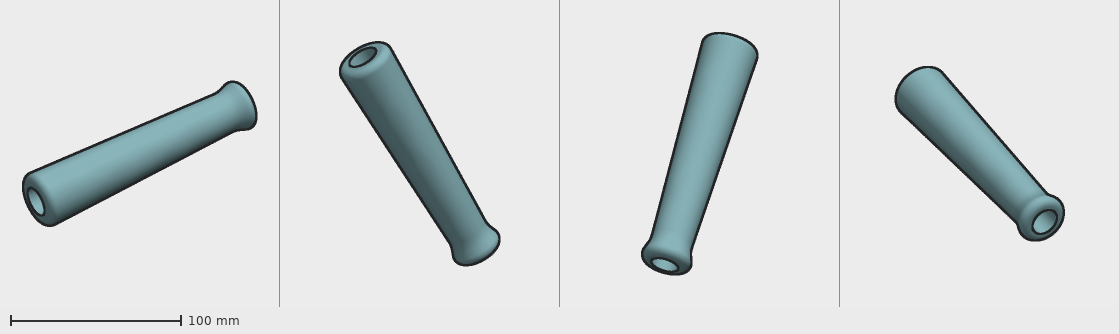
import cadquery as cq
import math

length = 148.0
front_radius = 16.9
bead_radius = 15.0
edge_round = 4.5
body_taper = math.radians(2.0)
flare_angle = math.radians(19.0)
neck_setback = 16.1
flare_setback = 9.0
bore_front_radius = 8.9
bore_back_radius = 8.3


def round_point(center, angle):
    """Point on an end rounding, at an angle from radial toward +Y."""
    return (
        center[0] + edge_round * math.cos(angle),
        center[1] + edge_round * math.sin(angle),
    )


front_center = (front_radius - edge_round, edge_round)
bead_center = (bead_radius - edge_round, length - edge_round)

front_tangent = round_point(front_center, body_taper)
bead_tangent = round_point(bead_center, -flare_angle)
front_mid = round_point(front_center, (body_taper - math.pi / 2) / 2)
bead_mid = round_point(bead_center, (math.pi / 2 - flare_angle) / 2)

neck_y = length - neck_setback
neck_radius = front_tangent[0] - (neck_y - front_tangent[1]) * math.tan(body_taper)
flare_y = length - flare_setback
flare_radius = bead_tangent[0] - (bead_tangent[1] - flare_y) * math.tan(flare_angle)

profile = (
    cq.Workplane("XY")
    .moveTo(bore_front_radius, 0)
    .lineTo(front_center[0], 0)
    .threePointArc(front_mid, front_tangent)
    .lineTo(neck_radius, neck_y)
    .tangentArcPoint((flare_radius, flare_y), relative=False)
    .lineTo(*bead_tangent)
    .threePointArc(bead_mid, (bead_center[0], length))
    .lineTo(bore_back_radius, length)
    .close()
)

result = profile.revolve(360, (0, 0, 0), (0, 1, 0))